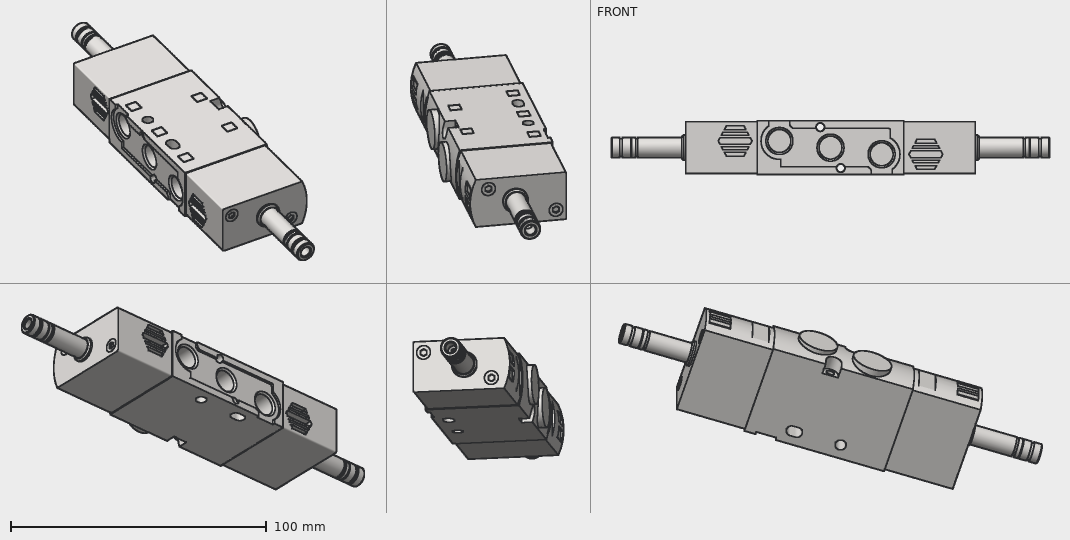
import cadquery as cq
import math


total_length = 171.7
body_length = 57.4
body_height = 21.1
body_front = -20.9
body_shoulder = 16.4
crown_apex = 18.0
boss_face = 19.5

pilot_length = 28.0
pilot_height = 20.3
pilot_front = -20.4
pilot_shoulder = 15.8
pilot_edge_radius = 0.6

port_spacing = 20.0
port_rise = 2.6
port_diameter = 9.0
port_mouth_diameter = 10.6
port_depth = 12.0
recess_depth = 1.0
recess_ring_radius = 7.2
recess_half_height = 7.5
recess_left = -19.5
recess_right = 23.4
recess_corner_radius = 0.6
recess_outlet_width = 8.2
recess_outlet_radius = 1.0

cross_hole_diameter = 3.2
cross_hole_x = 4.0
cross_hole_z = 8.0
cross_seat_width = 6.4
cross_seat_floor = 12.2
upright_hole_diameter = 4.3
upright_hole_x = -9.0
upright_hole_y = -15.2
upright_slot_x = 10.0
upright_slot_length = 6.4

boss_diameter = 15.6
boss_x = 11.1
boss_drop = 2.0
label_size = 4.5
label_depth = 0.2
label_places = [(-19.6, -15.3), (0.0, -15.3), (20.0, -15.3), (-11.6, 9.8), (11.4, 9.8)]

vent_x = -37.3
vent_z = 2.6
vent_height = 11.9
vent_width = 13.2
vent_flat_width = 6.8
vent_depth = 3.0
vent_bands = [(-5.95, -4.4), (-3.35, -2.3), (-1.3, 1.3), (2.3, 3.35), (4.4, 5.95)]
clip_slot_x = -34.2
clip_slot_width = 6.8
clip_slot_depth = 1.0
back_pocket_x = -50.9
back_pocket_length = 8.6
back_pocket_inner_z = 1.0
back_pocket_outer_z = 5.3
back_pocket_depth = 0.9

tube_diameter = 8.0
tube_end_chamfer = 0.4
collar_diameter = 10.0
collar_length = 1.5
collar_chamfer = 0.7
tube_bore_diameter = 4.13
tube_mouth_diameter = 4.9
tube_bore_depth = 6.0
inner_bore_diameter = 2.0
inner_bore_depth = 3.0
drill_point_angle = 118.0
tube_grooves = [(3.3, 1.1, 7.1), (7.6, 0.4, 7.6), (9.6, 0.9, 7.1)]

screw_places = [(10.7, 5.7), (-16.3, -5.7)]
screw_diameter = 3.0
screw_head_diameter = 5.5
screw_head_height = 3.0
screw_engagement = 4.0
socket_width = 2.5
socket_depth = 0.8
socket_turn = 30.0

body_end = -body_length / 2
pilot_end = body_end - pilot_length
tube_tip = -total_length / 2
half_height = body_height / 2


def box(x_range, y_range, z_range):
    """Box between two limits on each axis."""
    lows, highs = zip(x_range, y_range, z_range)
    size = [high - low for low, high in zip(lows, highs)]
    return cq.Workplane("XY").box(*size, centered=False).translate(lows)


def rod_along_y(x, z, diameter, y_start, y_stop):
    """Cylinder parallel to Y."""
    return (
        cq.Workplane("XZ", origin=(x, y_start, z))
        .circle(diameter / 2)
        .extrude(y_start - y_stop)
    )


def rod_along_x(y, z, diameter, x_start, x_stop):
    """Cylinder parallel to X."""
    return (
        cq.Workplane("YZ", origin=(x_start, y, z))
        .circle(diameter / 2)
        .extrude(x_stop - x_start)
    )


def cone(start, direction, start_diameter, stop_diameter, length):
    """Cone or truncated cone that runs from a start point."""
    solid = cq.Solid.makeCone(
        start_diameter / 2, stop_diameter / 2, length, cq.Vector(*start), cq.Vector(*direction)
    )
    return cq.Workplane(solid)


def crowned_block(x_start, length, height, front, shoulder):
    """Block with flat sides and a back that bulges to the crown apex."""
    half = height / 2
    return (
        cq.Workplane("YZ", origin=(x_start, 0, 0))
        .moveTo(front, -half)
        .lineTo(shoulder, -half)
        .threePointArc((crown_apex, 0), (shoulder, half))
        .lineTo(front, half)
        .close()
        .extrude(length)
    )


def turned_over(shape):
    """Shape of end A moved to end B."""
    return shape.rotate((0, 0, 0), (0, 1, 0), 180)


def cap_screw_blank(y, z):
    """Screw without its socket, which is also the shape of its hole."""
    head = rod_along_x(y, z, screw_head_diameter, pilot_end, pilot_end + screw_head_height)
    shank = rod_along_x(y, z, screw_diameter, pilot_end, body_end + screw_engagement)
    return head.union(shank)


def cap_screw(y, z):
    socket = (
        cq.Workplane("YZ", origin=(pilot_end, y, z))
        .transformed(rotate=(0, 0, socket_turn))
        .polygon(6, socket_width / math.cos(math.pi / 6))
        .extrude(socket_depth)
    )
    return cap_screw_blank(y, z).cut(socket)


def gasket_recess():
    """Shallow recess around the ports, with a channel from each outer port to the edge."""
    y_range = (body_front, body_front + recess_depth)
    field = box((recess_left, recess_right), y_range, (-recess_half_height, recess_half_height))
    field = field.edges("|Y and >X and >Z").fillet(recess_corner_radius)
    channel = box(
        (-port_spacing - recess_outlet_width / 2, -port_spacing + recess_outlet_width / 2),
        y_range,
        (port_rise, half_height),
    )
    ring = rod_along_y(-port_spacing, port_rise, 2 * recess_ring_radius, *y_range)
    outlet = channel.union(ring)
    recess = field.union(outlet).union(turned_over(outlet))
    inner_corner_x = port_spacing - recess_outlet_width / 2
    for side in (-1, 1):
        corner = cq.selectors.NearestToPointSelector(
            (side * inner_corner_x, body_front + recess_depth / 2, -side * recess_half_height)
        )
        recess = recess.edges("|Y").edges(corner).fillet(recess_outlet_radius)
    return recess


def port(x, z):
    """Blind port with a chamfered mouth, opening at the recess floor."""
    mouth_y = body_front + recess_depth
    mouth_chamfer = (port_mouth_diameter - port_diameter) / 2
    hole = rod_along_y(x, z, port_diameter, mouth_y, mouth_y + port_depth)
    mouth = cone((x, mouth_y, z), (0, 1, 0), port_mouth_diameter, port_diameter, mouth_chamfer)
    return hole.union(mouth)


def cross_mounting_hole():
    """Hole along Y with a head seat that is open to the top."""
    hole = rod_along_y(-cross_hole_x, cross_hole_z, cross_hole_diameter, body_front, crown_apex)
    seat = rod_along_y(-cross_hole_x, cross_hole_z, cross_seat_width, cross_seat_floor, boss_face)
    opening = box(
        (-cross_hole_x - cross_seat_width / 2, -cross_hole_x + cross_seat_width / 2),
        (cross_seat_floor, boss_face),
        (cross_hole_z, half_height),
    )
    return hole.union(seat).union(opening)


def upright_mounting_holes():
    """Round hole and slot through the height of the body."""
    bottom = cq.Workplane("XY", origin=(0, upright_hole_y, -half_height))
    hole = bottom.center(upright_hole_x, 0).circle(upright_hole_diameter / 2).extrude(body_height)
    slot_outline = bottom.center(upright_slot_x, 0).slot2D(upright_slot_length, upright_hole_diameter)
    slot = slot_outline.extrude(body_height)
    return hole.union(slot)


def outlet_boss():
    return rod_along_y(-boss_x, -boss_drop, boss_diameter, cross_seat_floor, boss_face)


def valve_body():
    body = crowned_block(body_end, body_length, body_height, body_front, body_shoulder)
    body = body.cut(cross_mounting_hole()).cut(turned_over(cross_mounting_hole()))
    body = body.union(outlet_boss()).union(turned_over(outlet_boss()))
    body = body.cut(gasket_recess())
    for step in (-1, 0, 1):
        body = body.cut(port(step * port_spacing, -step * port_rise))
    body = body.cut(upright_mounting_holes())
    label_pockets = (
        cq.Workplane("XY", origin=(0, 0, half_height))
        .pushPoints(label_places)
        .rect(label_size, label_size)
        .extrude(-label_depth)
    )
    body = body.cut(label_pockets)
    for place in screw_places:
        hole = cap_screw_blank(*place)
        body = body.cut(hole).cut(turned_over(hole))
    return body


def vent_slots():
    """Level slots cut within a hexagonal outline."""
    hexagon = (
        cq.Workplane("XZ", origin=(vent_x, pilot_front, vent_z))
        .polyline([
            (-vent_width / 2, 0),
            (-vent_flat_width / 2, vent_height / 2),
            (vent_flat_width / 2, vent_height / 2),
            (vent_width / 2, 0),
            (vent_flat_width / 2, -vent_height / 2),
            (-vent_flat_width / 2, -vent_height / 2),
        ])
        .close()
        .extrude(-vent_depth)
    )
    bands = cq.Workplane("XY")
    for low, high in vent_bands:
        band = box(
            (vent_x - vent_width / 2, vent_x + vent_width / 2),
            (pilot_front, pilot_front + vent_depth),
            (vent_z + low, vent_z + high),
        )
        bands = bands.union(band)
    return hexagon.intersect(bands)


def clip_slot():
    """Shallow slot across the crown of the pilot head."""
    return box(
        (clip_slot_x - clip_slot_width / 2, clip_slot_x + clip_slot_width / 2),
        (crown_apex - clip_slot_depth, crown_apex),
        (-pilot_height / 2, pilot_height / 2),
    )


def back_pocket(z_low, z_high):
    """Shallow pocket beside the crown line of the pilot head."""
    return box(
        (back_pocket_x - back_pocket_length / 2, back_pocket_x + back_pocket_length / 2),
        (crown_apex - back_pocket_depth, crown_apex),
        (z_low, z_high),
    )


def tube_bore():
    """Stepped drilled hole in the tube tip, countersunk at its mouth."""
    axis = (1, 0, 0)
    bore_end = tube_tip + tube_bore_depth
    inner_end = bore_end + inner_bore_depth
    countersink_depth = (tube_mouth_diameter - tube_bore_diameter) / 2
    point_slope = 2 * math.tan(math.radians(drill_point_angle / 2))
    bore = rod_along_x(0, 0, tube_bore_diameter, tube_tip, bore_end)
    mouth = cone((tube_tip, 0, 0), axis, tube_mouth_diameter, tube_bore_diameter, countersink_depth)
    bore_point = cone((bore_end, 0, 0), axis, tube_bore_diameter, 0, tube_bore_diameter / point_slope)
    inner_bore = rod_along_x(0, 0, inner_bore_diameter, bore_end, inner_end)
    inner_point = cone((inner_end, 0, 0), axis, inner_bore_diameter, 0, inner_bore_diameter / point_slope)
    return bore.union(mouth).union(bore_point).union(inner_bore).union(inner_point)


def armature_tube():
    tube = rod_along_x(0, 0, tube_diameter, tube_tip, pilot_end).faces("<X").chamfer(tube_end_chamfer)
    collar = rod_along_x(0, 0, collar_diameter, pilot_end - collar_length, pilot_end)
    tube = tube.union(collar.faces("<X").chamfer(collar_chamfer))
    for offset, width, diameter in tube_grooves:
        start = tube_tip + offset
        groove = rod_along_x(0, 0, collar_diameter, start, start + width)
        groove = groove.cut(rod_along_x(0, 0, diameter, start, start + width))
        tube = tube.cut(groove)
    return tube.cut(tube_bore())


def pilot_head():
    head = crowned_block(pilot_end, pilot_length, pilot_height, pilot_front, pilot_shoulder)
    head = head.edges("|X and <Y").fillet(pilot_edge_radius)
    head = head.cut(vent_slots()).cut(clip_slot())
    head = head.cut(back_pocket(back_pocket_inner_z, back_pocket_outer_z))
    head = head.cut(back_pocket(-back_pocket_outer_z, -back_pocket_inner_z))
    for place in screw_places:
        head = head.cut(cap_screw_blank(*place))
    return head.union(armature_tube())


bodies = [valve_body()]
for end_part in [pilot_head()] + [cap_screw(*place) for place in screw_places]:
    bodies += [end_part, turned_over(end_part)]

result = cq.Compound.makeCompound([body.solids().val() for body in bodies])